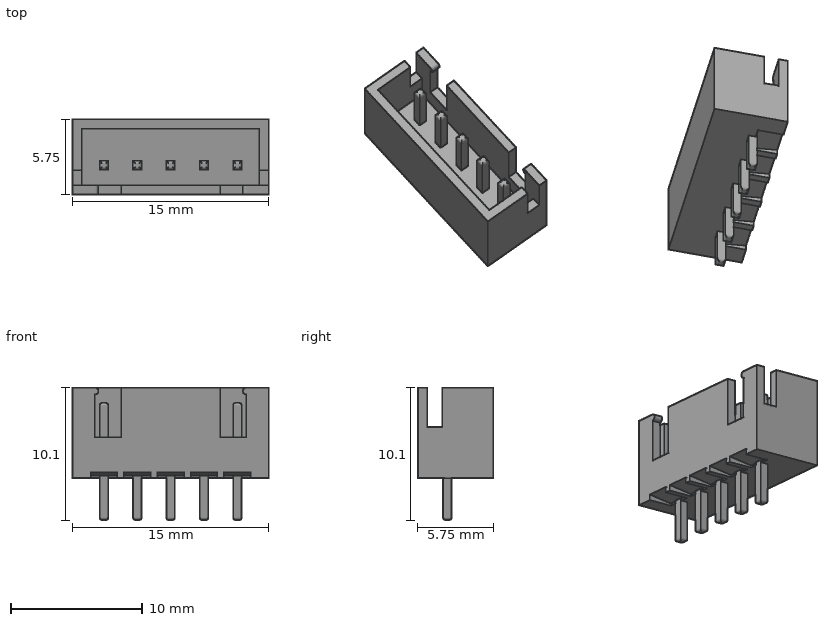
import cadquery as cq

length = 14.96
depth = 5.75
height = 6.88
wall = 0.72
floor_top = 1.45

pin_count = 5
pitch = 2.54
pin_width = 0.66
pin_y = 2.24
pin_top = 5.72
pin_bottom = -3.2
tip_radius = 0.2

front_slot_width = 1.99
front_slot_margin = 1.72
front_slot_bottom = 3.12
bead_radius = 0.26

side_slot_width = 1.13
side_slot_bottom = 3.89

notch_width = 2.04
notch_mouth_height = 0.45
notch_back_height = 0.17
notch_depth = 2.0


def box(x_min, x_max, y_min, y_max, z_min, z_max):
    """Axis-aligned block between the given limits."""
    size = (x_max - x_min, y_max - y_min, z_max - z_min)
    return cq.Workplane("XY").box(*size, centered=False).translate((x_min, y_min, z_min))


def make_shell():
    """Rectangular box with a cavity open at the top."""
    half = length / 2
    outer = box(-half, half, 0, depth, 0, height)
    cavity = box(-half + wall, half - wall, wall, depth - wall, floor_top, height)
    return outer.cut(cavity)


def side_slots():
    """One cutter that opens both end walls."""
    half = length / 2
    return box(-half, half, wall, wall + side_slot_width, side_slot_bottom, height)


def front_slot(side):
    """Slot cutter in the front wall; side is -1 for the left end, +1 for the right."""
    outer_x = side * (length / 2 - front_slot_margin)
    inner_x = outer_x - side * front_slot_width
    slot = box(min(outer_x, inner_x), max(outer_x, inner_x), 0, wall, front_slot_bottom, height)
    bead_z = height - bead_radius
    bead = cq.Workplane("XZ", origin=(outer_x, 0, bead_z)).circle(bead_radius).extrude(-wall)
    return slot.cut(bead)


def relief_notch(x):
    """Notch cutter whose roof slopes down from the front face to its back wall."""
    profile = [
        (0, 0),
        (0, notch_mouth_height),
        (notch_depth, notch_back_height),
        (notch_depth, 0),
    ]
    start_x = x - notch_width / 2
    return cq.Workplane("YZ", origin=(start_x, 0, 0)).polyline(profile).close().extrude(notch_width)


def make_pin(x):
    """Square pin with the edges around both tips rounded."""
    half = pin_width / 2
    pin = box(x - half, x + half, pin_y - half, pin_y + half, pin_bottom, pin_top)
    return pin.faces("<Z or >Z").edges().fillet(tip_radius)


pin_positions = [(i - (pin_count - 1) / 2) * pitch for i in range(pin_count)]

result = make_shell().cut(side_slots())
for side in (-1, 1):
    result = result.cut(front_slot(side))
for x in pin_positions:
    result = result.cut(relief_notch(x))
for x in pin_positions:
    result = result.union(make_pin(x))